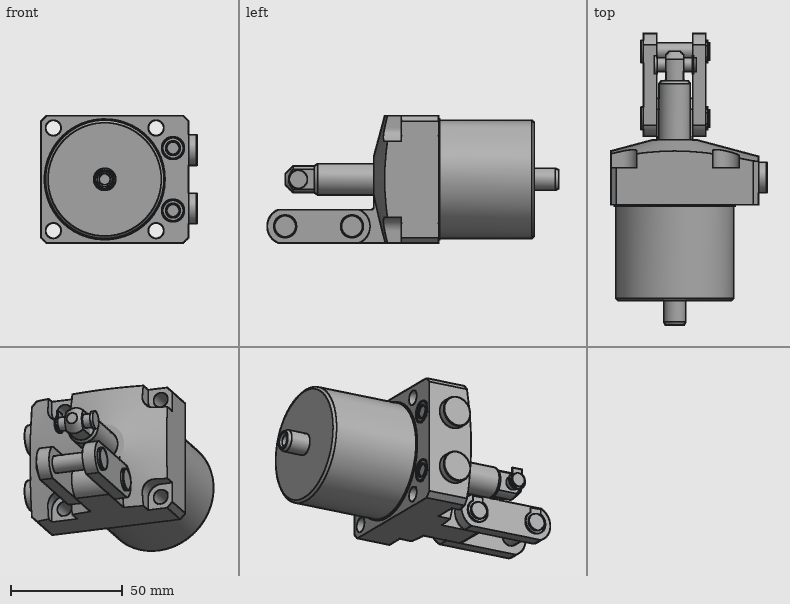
import cadquery as cq
import math


TOTAL_WIDTH = 69.8
TOTAL_LENGTH = 130.5
CUT_MARGIN = 1.3

FLANGE_HEIGHT = 57.0
HALF_HEIGHT = FLANGE_HEIGHT / 2
FLANGE_WIDTH = 66.0
FLANGE_LEFT = -HALF_HEIGHT
FLANGE_RIGHT = FLANGE_LEFT + FLANGE_WIDTH
CORNER_CHAMFER = 2.5
DOME_TOP = 29.1
DOME_FLAT_RADIUS = 10.0
DOME_ANGLE = 15.0
DOME_RADIUS = 52.2

SCREW_OFFSET = 23.0
SCREW_HOLE_RADIUS = 3.4
SCREW_SEAT_RADIUS = 6.0
SCREW_SEAT_Y = 16.7

COLLAR_RADIUS = 27.0
COLLAR_LENGTH = 0.5
BARREL_RADIUS = 26.5
BARREL_LENGTH = 42.8
BARREL_CHAMFER = 1.2
TAIL_RADIUS = 5.0
TAIL_LENGTH = 11.0
TAIL_CHAMFER_RADIAL = 0.8
TAIL_CHAMFER_LENGTH = 1.6
TAIL_HOLE_RADIUS = 2.5
TAIL_HOLE_MOUTH_RADIUS = 3.4
TAIL_HOLE_DEPTH = 7.8

ROD_RADIUS = 7.0
ROD_END = 55.6
ROD_CHAMFER_LENGTH = 1.5
TIP_RADIUS = 6.0
TIP_END = 68.6
TIP_CHAMFER = 3.5
TIP_THICKNESS = 8.0
TIP_FLAT_FILLET = 0.5

LINK_AXIS_Z = -21.0
LINK_HALF_HEIGHT = HALF_HEIGHT + LINK_AXIS_Z
LINK_END_RADIUS = 8.1
LINK_PIVOT_Y = 38.8
LINK_FAR_Y = TOTAL_LENGTH - BARREL_LENGTH - TAIL_LENGTH - LINK_END_RADIUS
LINK_INNER_X = 8.0
LINK_THICKNESS = 6.0
LINK_OUTER_X = LINK_INNER_X + LINK_THICKNESS
LUG_END_CENTRE_Y = 39.7
LUG_TOP_Z = LINK_AXIS_Z + LINK_HALF_HEIGHT
LUG_FILLET = 1.0

LINK_PIN_RADIUS = 3.9
LINK_PIN_HEAD_RADIUS = 5.1
LINK_PIN_HEAD_CHAMFER = 0.4
LINK_CLIP_TAB_TOP = 6.8
ROD_PIN_Y = 62.8
ROD_PIN_RADIUS = 3.1
ROD_PIN_HEAD_RADIUS = 4.0
ROD_PIN_SEAT_X = 7.8
ROD_CLIP_TAB_TOP = 5.6
PIN_HEAD_THICKNESS = 1.3
PIN_TIP_LENGTH = 1.7
CLIP_THICKNESS = 0.8
CLIP_TAB_WIDTH = 5.0

PORT_X = 30.5
PORT_Z = 14.0
PORT_RADIUS = 5.1
PORT_BORE_RADIUS = 2.7
PORT_CHAMFER = 0.5
PLUG_RADIUS = 6.9
PLUG_LENGTH = TOTAL_WIDTH - FLANGE_WIDTH
PLUG_Y = 12.3
PLUG_Z = 13.0
PLUG_CHAMFER = 0.3


def box(x0, x1, y0, y1, z0, z1):
    """Box between the given limits."""
    return cq.Workplane("XY").box(x1 - x0, y1 - y0, z1 - z0, centered=False).translate((x0, y0, z0))


def turned(profile):
    """Solid of revolution about the rod axis; the profile lists (radius, y) points."""
    return cq.Workplane("XY").polyline(profile).close().revolve(360, (0, 0, 0), (0, 1, 0))


def cylinder_x(radius, x0, x1, y, z):
    """Cylinder along X."""
    return cq.Workplane("YZ", origin=(x0, 0, 0)).center(y, z).circle(radius).extrude(x1 - x0)


def cylinder_y(radius, y0, y1, x, z):
    """Cylinder along Y."""
    return cq.Workplane("XZ", origin=(x, y0, z)).circle(radius).extrude(y0 - y1)


def screw_seat(x_sign, z_sign):
    """Round screw seat, open to the nearest Z edge and, on the -X side, to the corner."""
    x = x_sign * SCREW_OFFSET
    z = z_sign * SCREW_OFFSET
    z_out = z_sign * (HALF_HEIGHT + CUT_MARGIN)
    seat = cylinder_y(SCREW_SEAT_RADIUS, SCREW_SEAT_Y, DOME_TOP, x, z)
    opening = box(
        x - SCREW_SEAT_RADIUS, x + SCREW_SEAT_RADIUS, SCREW_SEAT_Y, DOME_TOP, min(z, z_out), max(z, z_out)
    )
    seat = seat.union(opening)
    if x_sign < 0:
        z_in = z - z_sign * SCREW_SEAT_RADIUS
        side = box(FLANGE_LEFT - CUT_MARGIN, x, SCREW_SEAT_Y, DOME_TOP, min(z_in, z_out), max(z_in, z_out))
        seat = seat.union(side)
    return seat


def make_flange():
    """Chamfered block whose top is a shallow cone, with four screw holes."""
    block = box(FLANGE_LEFT, FLANGE_RIGHT, 0, DOME_TOP, -HALF_HEIGHT, HALF_HEIGHT)
    block = block.edges("|Y").chamfer(CORNER_CHAMFER)
    rim_y = DOME_TOP - (DOME_RADIUS - DOME_FLAT_RADIUS) * math.tan(math.radians(DOME_ANGLE))
    dome = turned([
        (0, 0),
        (DOME_RADIUS, 0),
        (DOME_RADIUS, rim_y),
        (DOME_FLAT_RADIUS, DOME_TOP),
        (0, DOME_TOP),
    ])
    flange = block.intersect(dome)
    for x_sign in (-1, 1):
        for z_sign in (-1, 1):
            x = x_sign * SCREW_OFFSET
            z = z_sign * SCREW_OFFSET
            flange = flange.cut(cylinder_y(SCREW_HOLE_RADIUS, 0, DOME_TOP, x, z))
            flange = flange.cut(screw_seat(x_sign, z_sign))
    return flange


def make_barrel():
    """Cylinder barrel with its collar and the hollow tail rod."""
    barrel_end = -BARREL_LENGTH
    tail_end = barrel_end - TAIL_LENGTH
    mouth_y = tail_end + TAIL_HOLE_MOUTH_RADIUS - TAIL_HOLE_RADIUS
    hole_floor = tail_end + TAIL_HOLE_DEPTH
    return turned([
        (0, 0),
        (COLLAR_RADIUS, 0),
        (COLLAR_RADIUS, -COLLAR_LENGTH),
        (BARREL_RADIUS, -COLLAR_LENGTH),
        (BARREL_RADIUS, barrel_end + BARREL_CHAMFER),
        (BARREL_RADIUS - BARREL_CHAMFER, barrel_end),
        (TAIL_RADIUS, barrel_end),
        (TAIL_RADIUS, tail_end + TAIL_CHAMFER_LENGTH),
        (TAIL_RADIUS - TAIL_CHAMFER_RADIAL, tail_end),
        (TAIL_HOLE_MOUTH_RADIUS, tail_end),
        (TAIL_HOLE_RADIUS, mouth_y),
        (TAIL_HOLE_RADIUS, hole_floor),
        (0, hole_floor),
    ])


def make_rod():
    """Piston rod with a flattened, coned tip."""
    rod = turned([
        (0, 0),
        (ROD_RADIUS, 0),
        (ROD_RADIUS, ROD_END - ROD_CHAMFER_LENGTH),
        (TIP_RADIUS, ROD_END),
        (TIP_RADIUS, TIP_END - TIP_CHAMFER),
        (TIP_RADIUS - TIP_CHAMFER, TIP_END),
        (0, TIP_END),
    ])
    half = TIP_THICKNESS / 2
    beside_flat = box(half, ROD_RADIUS, ROD_END, TIP_END, -ROD_RADIUS, ROD_RADIUS)
    beside_flat = beside_flat.faces("<Y").edges("<X").fillet(TIP_FLAT_FILLET)
    return rod.cut(beside_flat).cut(beside_flat.mirror("YZ"))


def round_ended_bar(x0, x1, y0, y1, round_start):
    """Bar along Y as high as a link; arcs about y1, and y0 if asked, round its ends."""
    bar_start = y0 - LINK_END_RADIUS if round_start else y0
    bottom = LINK_AXIS_Z - LINK_HALF_HEIGHT
    bar = box(x0, x1, bar_start, y1 + LINK_END_RADIUS, bottom, LUG_TOP_Z)
    rounding = cylinder_x(LINK_END_RADIUS, x0, x1, y1, LINK_AXIS_Z)
    rounding = rounding.union(box(x0, x1, y0, y1, bottom, LUG_TOP_Z))
    if round_start:
        rounding = rounding.union(cylinder_x(LINK_END_RADIUS, x0, x1, y0, LINK_AXIS_Z))
    return bar.intersect(rounding)


def make_lug():
    """Lug between the links, rising from a pad level with the top of the dome."""
    lug = round_ended_bar(-LINK_INNER_X, LINK_INNER_X, SCREW_SEAT_Y, LUG_END_CENTRE_Y, False)
    pad = box(-LINK_INNER_X, LINK_INNER_X, SCREW_SEAT_Y, DOME_TOP, LUG_TOP_Z, 0)
    fillet = (
        cq.Workplane("YZ", origin=(-LINK_INNER_X, 0, 0))
        .moveTo(DOME_TOP, LUG_TOP_Z)
        .lineTo(DOME_TOP + LUG_FILLET, LUG_TOP_Z)
        .radiusArc((DOME_TOP, LUG_TOP_Z + LUG_FILLET), LUG_FILLET)
        .close()
        .extrude(2 * LINK_INNER_X)
    )
    return lug.union(pad).union(fillet)


def make_pin(y, z, radius, head_radius, seat_x, tab_top):
    """Headed pin along X, held on its +X end by a clip with a tab pointing up."""
    pin = cylinder_x(radius, -seat_x, seat_x + PIN_TIP_LENGTH, y, z)
    head = cylinder_x(head_radius, -seat_x - PIN_HEAD_THICKNESS, -seat_x, y, z)
    clip = cylinder_x(head_radius, seat_x, seat_x + CLIP_THICKNESS, y, z)
    half_tab = CLIP_TAB_WIDTH / 2
    tab = box(seat_x, seat_x + CLIP_THICKNESS, y - half_tab, y + half_tab, z, z + tab_top)
    return pin.union(head).union(clip).union(tab)


def make_link_pin(y):
    """Pin through both links, with a chamfered head."""
    pin = make_pin(y, LINK_AXIS_Z, LINK_PIN_RADIUS, LINK_PIN_HEAD_RADIUS, LINK_OUTER_X, LINK_CLIP_TAB_TOP)
    return pin.faces("<X").chamfer(LINK_PIN_HEAD_CHAMFER)


def link_pin_hole(y):
    """Space taken by the shank of a link pin."""
    return cylinder_x(LINK_PIN_RADIUS, -LINK_OUTER_X, LINK_OUTER_X, y, LINK_AXIS_Z)


def make_link(x0):
    """Link with two pin holes, its -X face at x0."""
    link = round_ended_bar(x0, x0 + LINK_THICKNESS, LINK_PIVOT_Y, LINK_FAR_Y, True)
    for y in (LINK_PIVOT_Y, LINK_FAR_Y):
        link = link.cut(link_pin_hole(y))
    return link


def port_recess(z):
    """V-groove and tapered bore that leave a chamfered ring flush with the mounting face."""
    groove_radius = PORT_RADIUS - PORT_CHAMFER
    mouth_radius = PORT_BORE_RADIUS + PORT_CHAMFER
    groove = turned([(groove_radius, 0), (PORT_RADIUS, 0), (PORT_RADIUS, PORT_CHAMFER)])
    bore = turned([(0, 0), (mouth_radius, 0), (PORT_BORE_RADIUS, PORT_CHAMFER), (0, PORT_CHAMFER)])
    return groove.union(bore).translate((PORT_X, 0, z))


def make_plug(z):
    """Round plug standing on the +X side of the flange."""
    plug = cylinder_x(PLUG_RADIUS, FLANGE_RIGHT, FLANGE_RIGHT + PLUG_LENGTH, PLUG_Y, z)
    return plug.faces(">X").chamfer(PLUG_CHAMFER)


def make_cylinder():
    """Flange, barrel, rod with its pin, lug and plugs as one solid."""
    cylinder = make_flange().union(make_barrel()).union(make_rod()).union(make_lug())
    rod_pin = make_pin(ROD_PIN_Y, 0, ROD_PIN_RADIUS, ROD_PIN_HEAD_RADIUS, ROD_PIN_SEAT_X, ROD_CLIP_TAB_TOP)
    cylinder = cylinder.union(rod_pin)
    for side in (-1, 1):
        cylinder = cylinder.union(make_plug(side * PLUG_Z))
        cylinder = cylinder.cut(port_recess(side * PORT_Z))
    return cylinder.cut(link_pin_hole(LINK_PIVOT_Y))


cylinder = make_cylinder()
links = [make_link(x0).val() for x0 in (-LINK_OUTER_X, LINK_INNER_X)]
link_pins = [make_link_pin(y).val() for y in (LINK_PIVOT_Y, LINK_FAR_Y)]

result = cq.Compound.makeCompound([cylinder.val(), *links, *link_pins])